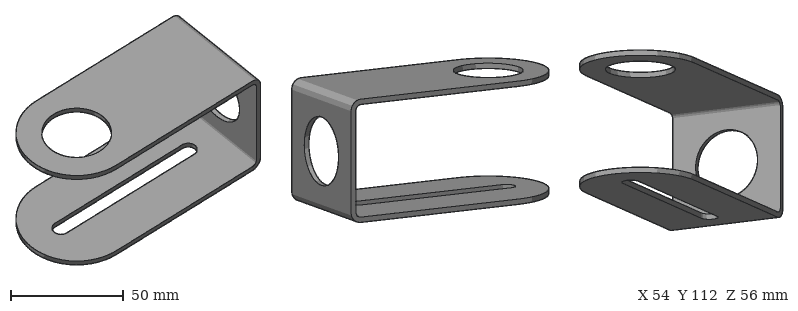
import cadquery as cq

length = 112.0
width = 54.0
height = 56.0
thickness = 2.5
outer_bend_radius = 5.0
hole_diameter = 31.0
slot_width = 8.0
slot_length = 83.1
slot_front_gap = 13.8

inner_bend_radius = outer_bend_radius - thickness
tip_radius = width / 2
front_y = -length / 2
back_y = length / 2
tip_center_y = front_y + tip_radius
slot_center_y = front_y + slot_front_gap + slot_length / 2


def make_channel():
    """U-shaped sheet, open toward -Y, with rounded bends at the back."""
    outer = cq.Workplane("XY").box(width, length, height)
    outer = outer.edges("|X and >Y").fillet(outer_bend_radius)
    inner = cq.Workplane("XY").box(width, length, height - 2 * thickness)
    inner = inner.edges("|X and >Y").fillet(inner_bend_radius)
    return outer.cut(inner.translate((0, -thickness, 0)))


def make_rounded_outline():
    """Vertical prism that gives both arms their semicircular tips."""
    return (
        cq.Workplane("XY", origin=(0, 0, -height / 2))
        .moveTo(-tip_radius, back_y)
        .lineTo(-tip_radius, tip_center_y)
        .threePointArc((0, front_y), (tip_radius, tip_center_y))
        .lineTo(tip_radius, back_y)
        .close()
        .extrude(height)
    )


top_hole = (
    cq.Workplane("XY")
    .center(0, tip_center_y)
    .circle(hole_diameter / 2)
    .extrude(height)
)

back_hole = (
    cq.Workplane("XZ")
    .circle(hole_diameter / 2)
    .extrude(-length)
)

bottom_slot = (
    cq.Workplane("XY")
    .center(0, slot_center_y)
    .slot2D(slot_length, slot_width, 90)
    .extrude(-height)
)

result = make_channel().intersect(make_rounded_outline())
result = result.cut(top_hole).cut(back_hole).cut(bottom_slot)